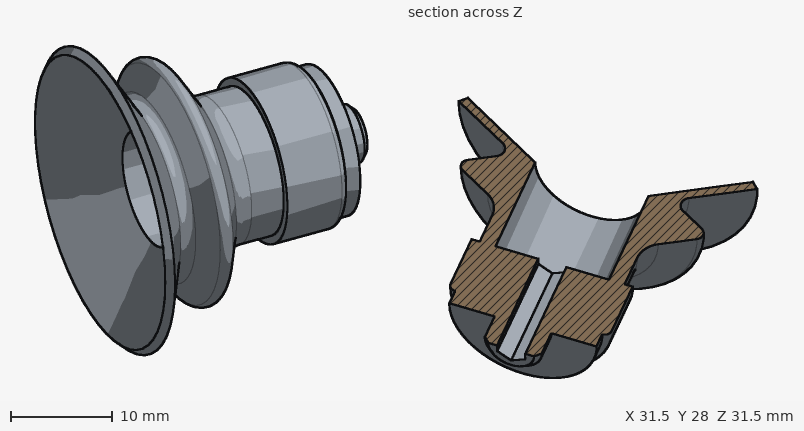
import cadquery as cq
import math


lip_radius = 15.73
mouth_radius = 15.0
bore_radius = 11.9 / 2
ridge_radius = 12.75
neck_radius = 15.3 / 2
collar_radius = 17.0 / 2
flange_radius = 15.5 / 2
stem_radius = 6.0 / 2

lip_edge_y = 0.72
mouth_depth = 5.25
groove_y = 4.97
collar_start_y = 16.4
collar_end_y = 23.05
flange_end_y = 24.7
total_length = 28.0

groove_round = 0.95
ridge_round = 0.82
neck_round = 2.65
collar_round = 0.72
stem_chamfer = 0.6
hex_across_flats = 2.93

cone_angle = math.radians(60)
cone_slope = math.tan(cone_angle)


def arc_height(radius):
    """Axial distance from the crest of a tangent round to where it meets a cone."""
    return radius * math.sin(cone_angle)


def arc_depth(radius, angle=cone_angle):
    """Radial distance from the crest of a round to the point at the given angle."""
    return radius * (1 - math.cos(angle))


groove_half_width = arc_height(groove_round)
groove_start_y = groove_y - groove_half_width
groove_end_y = groove_y + groove_half_width
groove_edge_radius = lip_radius - (groove_start_y - lip_edge_y) * cone_slope
groove_radius = groove_edge_radius - arc_depth(groove_round)

ridge_edge_radius = ridge_radius - arc_depth(ridge_round)
ridge_start_y = groove_end_y + (ridge_edge_radius - groove_edge_radius) / cone_slope
ridge_y = ridge_start_y + arc_height(ridge_round)
ridge_end_y = ridge_y + arc_height(ridge_round)

shoulder_radius = neck_radius + arc_depth(neck_round)
shoulder_y = ridge_end_y + (ridge_edge_radius - shoulder_radius) / cone_slope
neck_start_y = shoulder_y + arc_height(neck_round)
neck_arc_middle = (
    neck_radius + arc_depth(neck_round, cone_angle / 2),
    neck_start_y - neck_round * math.sin(cone_angle / 2),
)


def disc(radius, start_y, end_y):
    """Cylinder on the Y axis between two Y positions."""
    return cq.Workplane("XZ", origin=(0, start_y, 0)).circle(radius).extrude(start_y - end_y)


def make_bellows():
    """Lip, groove, ridge and neck around the flared mouth and the bore."""
    profile = (
        cq.Workplane("XY")
        .moveTo(mouth_radius, 0)
        .lineTo(lip_radius, lip_edge_y)
        .lineTo(groove_edge_radius, groove_start_y)
        .threePointArc((groove_radius, groove_y), (groove_edge_radius, groove_end_y))
        .lineTo(ridge_edge_radius, ridge_start_y)
        .threePointArc((ridge_radius, ridge_y), (ridge_edge_radius, ridge_end_y))
        .lineTo(shoulder_radius, shoulder_y)
        .threePointArc(neck_arc_middle, (neck_radius, neck_start_y))
        .lineTo(neck_radius, collar_start_y)
        .lineTo(bore_radius, collar_start_y)
        .lineTo(bore_radius, mouth_depth)
        .close()
    )
    return profile.revolve(360, (0, 0, 0), (0, 1, 0))


def make_fitting():
    """Collar, flange and stem; the front of the collar is the bore floor."""
    collar = disc(collar_radius, collar_start_y, collar_end_y)
    collar = collar.faces(">Y").edges().fillet(collar_round)
    flange = disc(flange_radius, collar_end_y, flange_end_y)
    stem = disc(stem_radius, flange_end_y, total_length)
    stem = stem.faces(">Y").edges().chamfer(stem_chamfer)
    return collar.union(flange).union(stem)


def make_key_hole():
    """Hexagonal through hole with two flats facing +X and -X."""
    across_corners = hex_across_flats / math.cos(math.radians(30))
    hexagon = cq.Workplane("XZ").polygon(6, across_corners).extrude(-total_length)
    return hexagon.rotate((0, 0, 0), (0, 1, 0), 30)


result = make_bellows().union(make_fitting()).cut(make_key_hole())